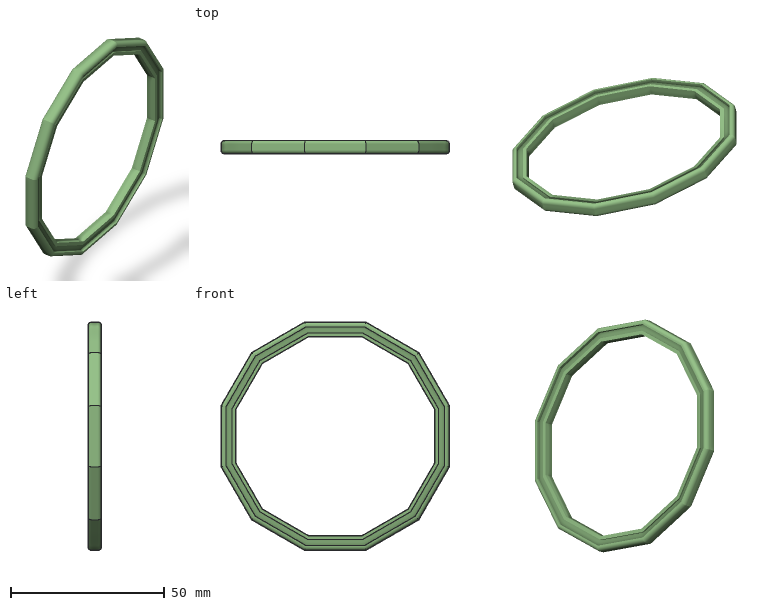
import cadquery as cq

SIDES = 12
OUTER_ACROSS = 74.55
RING_DEPTH = 4.4
EDGE_RADIUS = 1.2

RIM_WIDTH = 1.6
GROOVE_WIDTH = 2.0
LIP_WIDTH = 1.2
LIP_DEPTH = 3.2
WEB_DEPTH = 2.0

GROOVE_OUTER_ACROSS = OUTER_ACROSS - 2 * RIM_WIDTH
GROOVE_INNER_ACROSS = GROOVE_OUTER_ACROSS - 2 * GROOVE_WIDTH
BORE_ACROSS = GROOVE_INNER_ACROSS - 2 * LIP_WIDTH


def polygon_prism(across, depth):
    """Twelve-sided prism along Y, centred on the origin, with flats facing +/-X and +/-Z."""
    return (
        cq.Workplane("XZ")
        .polygon(SIDES, across, circumscribed=True)
        .extrude(depth / 2, both=True)
    )


def polygon_ring(outer_across, inner_across, depth):
    """Twelve-sided ring with plain flat sides, centred on the origin."""
    return polygon_prism(outer_across, depth).cut(polygon_prism(inner_across, depth))


def outer_rim():
    """Full-depth outer band with both outside edges rounded."""
    rounded_prism = polygon_prism(OUTER_ACROSS, RING_DEPTH).faces("<Y or >Y").edges().fillet(EDGE_RADIUS)
    return rounded_prism.cut(polygon_prism(GROOVE_OUTER_ACROSS, RING_DEPTH))


def web():
    """Thin band between the two groove floors."""
    return polygon_ring(GROOVE_OUTER_ACROSS, GROOVE_INNER_ACROSS, WEB_DEPTH)


def inner_lip():
    """Band around the bore, standing above the groove floors."""
    return polygon_ring(GROOVE_INNER_ACROSS, BORE_ACROSS, LIP_DEPTH)


result = outer_rim().union(web()).union(inner_lip())